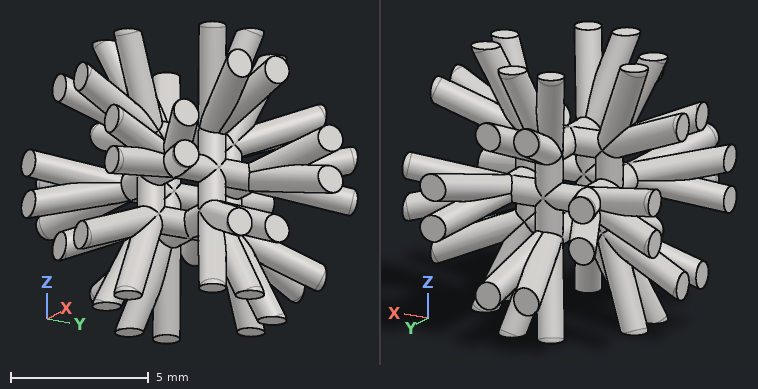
import cadquery as cq

cell_size = 10.0
bar_diameter = 1.0
cage_half = 1.62
arm_end_near = 0.79
arm_end_far = 3.04

cell_half = cell_size / 2
bar_radius = bar_diameter / 2
SIGNS = (-1, 1)


def point(axis_values):
    """Vector from a {axis index: coordinate} mapping; missing axes are zero."""
    return cq.Vector(*(axis_values.get(axis, 0.0) for axis in range(3)))


def ball(center):
    """Round joint or bar end."""
    return cq.Workplane("XY").sphere(bar_radius).val().moved(cq.Location(center))


def bar(start, end):
    """Round bar between two points."""
    direction = end - start
    return cq.Solid.makeCylinder(bar_radius, direction.Length, start, direction)


def node_bodies(zero_axis, sign_a, sign_b):
    """Edge node of the cage with its two cage bars and its four outward arms."""
    axis_a = (zero_axis + 1) % 3
    axis_b = (zero_axis + 2) % 3
    node = point({axis_a: sign_a * cage_half, axis_b: sign_b * cage_half})
    bodies = [ball(node)]

    bodies.append(bar(node, point({axis_a: sign_a * cage_half})))
    bodies.append(bar(node, point({axis_b: sign_b * cage_half})))

    for reach_a, reach_b in ((cell_half, arm_end_far), (arm_end_far, cell_half)):
        for sign_near in SIGNS:
            arm_end = point({
                zero_axis: sign_near * arm_end_near,
                axis_a: sign_a * reach_a,
                axis_b: sign_b * reach_b,
            })
            bodies.append(bar(node, arm_end))
            bodies.append(ball(arm_end))
    return bodies


lattice_bodies = []
for axis in range(3):
    for sign_first in SIGNS:
        lattice_bodies.append(ball(point({axis: sign_first * cage_half})))
        for sign_second in SIGNS:
            lattice_bodies.extend(node_bodies(axis, sign_first, sign_second))

lattice = cq.Workplane(obj=lattice_bodies[0].fuse(*lattice_bodies[1:]))

result = lattice.intersect(cq.Workplane("XY").box(cell_size, cell_size, cell_size))